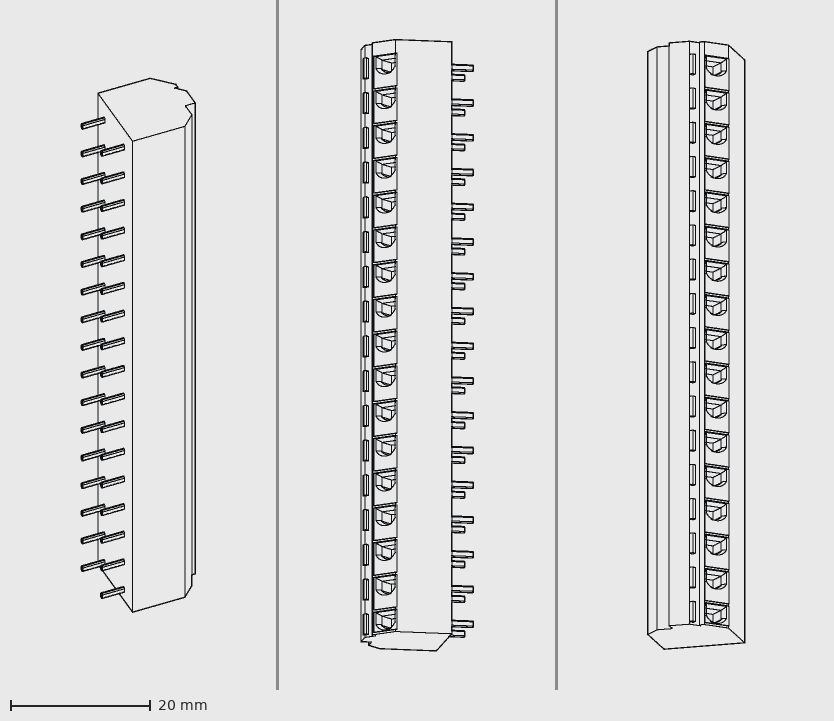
import cadquery as cq
import math


length = 86.6
width = 12.0
crown_y = 11.8
shoulder_y = 8.2
ridge_y = 11.0
ridge_flat = 0.7
notch_y = 10.5
step_x = 7.8
deck_y = 10.2
ridge_x = ridge_y - shoulder_y
notch_x = ridge_x + ridge_flat
crown_x = notch_x + crown_y - notch_y
deck_end_x = width - (deck_y - shoulder_y)

pole_count = 17
top_pole_z = 83.3
bottom_pole_z = 2.0
pole_pitch = (top_pole_z - bottom_pole_z) / (pole_count - 1)
pole_heights = [top_pole_z - i * pole_pitch for i in range(pole_count)]

pin_columns = (2.25, 9.0)
pin_width = 0.5
pin_height = 0.95
pin_length = 3.55
pin_root = 0.9
pin_corner = 0.2
pin_tip_chamfer = 0.1

field_above = 1.3
field_height = 4.8
field_shift = 0.3
field_lip = 0.1
end_wall = 0.35

entry_y = 9.5
entry_width = 3.5
entry_height = 2.9
entry_round = 1.0
funnel_depth = 1.2
funnel_taper = 20.0
channel_depth = 2.4

button_height = 2.95
button_y = 12.0
button_foot_y = 11.3
button_nose_y = 11.7
button_left = 3.9
button_flat_left = 4.15
button_flat_right = 4.7


def prism(points, bottom, height):
    """Extrude an XY outline upward from the given Z."""
    return cq.Workplane("XY", origin=(0, 0, bottom)).polyline(points).close().extrude(height)


def housing():
    outline = [
        (0, 0),
        (width, 0),
        (width, shoulder_y),
        (deck_end_x, deck_y),
        (step_x, deck_y),
        (step_x, crown_y),
        (crown_x, crown_y),
        (notch_x, notch_y),
        (notch_x, ridge_y),
        (ridge_x, ridge_y),
        (0, shoulder_y),
    ]
    return prism(outline, 0, length)


def pin(x, z):
    section = cq.Workplane("XZ", origin=(x, pin_root, z)).rect(pin_width, pin_height)
    shaft = section.extrude(pin_root + pin_length).edges("|Y").chamfer(pin_corner)
    return shaft.faces("<Y").chamfer(pin_tip_chamfer)


def field(z):
    """Shallow band removed from the slope around one wire entry."""
    top = z + field_above
    bottom = max(top - field_height, end_wall)
    upper_x = ridge_x - field_lip
    upper_y = ridge_y - field_lip
    outline = [
        (0, shoulder_y - field_shift),
        (upper_x + field_shift / 2, upper_y - field_shift / 2),
        (upper_x, upper_y),
        (0, shoulder_y),
    ]
    return prism(outline, bottom, top - bottom)


def u_outline(plane, inset):
    """U shape with a flat upper edge at +y and a curved lower edge."""
    half = entry_width / 2 - inset
    top = field_above - inset
    bottom = field_above - entry_height + inset
    spring = field_above - entry_height + entry_round
    return (
        plane.moveTo(-half, top)
        .lineTo(-half, spring)
        .threePointArc((0, bottom), (half, spring))
        .lineTo(half, top)
        .close()
    )


def wire_entry(z):
    inward = (1, -1, 0)
    along_slope = (1, 1, 0)
    mouth_centre = (entry_y - shoulder_y, entry_y, z)
    mouth = cq.Plane(mouth_centre, along_slope, inward)
    inset = funnel_depth * math.tan(math.radians(funnel_taper))
    funnel = u_outline(cq.Workplane(mouth), 0).extrude(funnel_depth, taper=funnel_taper)
    channel = u_outline(cq.Workplane(mouth), inset).extrude(funnel_depth + channel_depth)
    return funnel.union(channel)


def button(z):
    """Small head standing proud of the crown's sloped edge."""
    foot_x = crown_x - (crown_y - button_foot_y)
    outline = [
        (foot_x, button_foot_y),
        (button_left, button_nose_y),
        (button_flat_left, button_y),
        (button_flat_right, button_y),
        (button_flat_right, button_foot_y),
    ]
    return prism(outline, z + field_above - button_height, button_height)


result = housing()
for pole_z in pole_heights:
    result = result.cut(field(pole_z)).cut(wire_entry(pole_z))
    result = result.union(button(pole_z))
    for column_x in pin_columns:
        result = result.union(pin(column_x, pole_z))